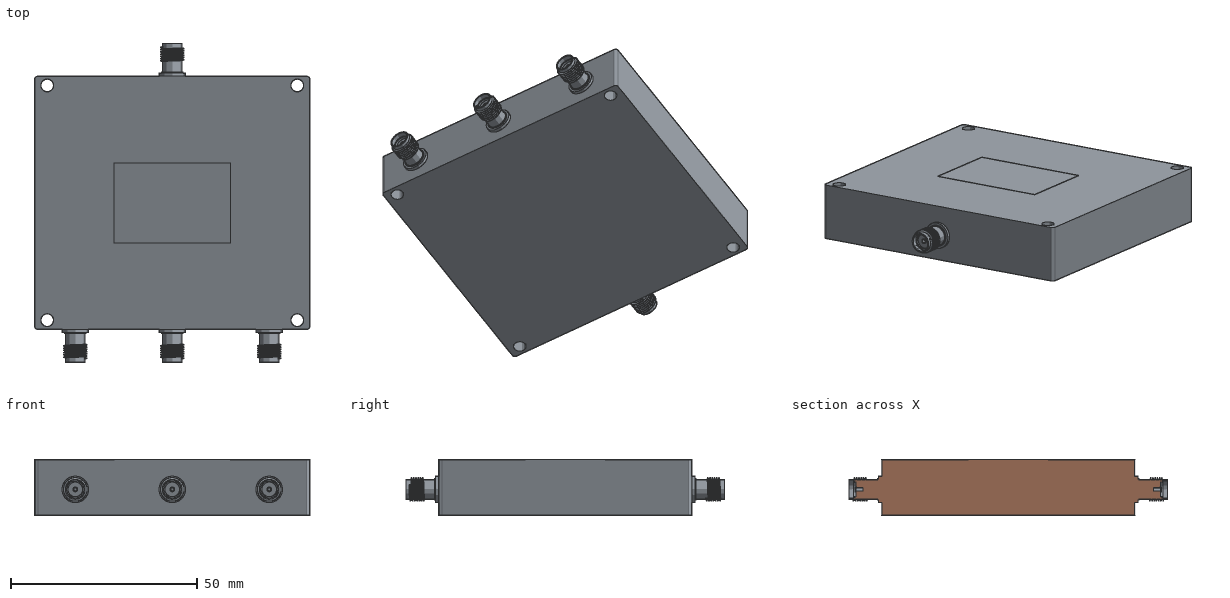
import cadquery as cq

housing_x = 74.0
housing_y = 68.05
housing_z = 15.0
corner_radius = 0.85

hole_diameter = 3.3
hole_spacing_x = 67.2
hole_spacing_y = 63.1

label_x = 31.2
label_y = 21.5
label_thickness = 0.1

overall_y = 85.7
connector_length = (overall_y - housing_y) / 2
connector_pitch = 26.05
connector_drop = 0.5
flange_diameter = 7.1
flange_thickness = 0.85
barrel_diameter = 5.3

thread_diameter = 6.3
thread_pitch = 0.6
thread_turns = 6.4
thread_crest = 0.1
thread_root = 0.565
thread_start_angle = 60
thread_end_gap = 0.8
root_overlap = 0.2

collar_diameter = 5.8
collar_height = 0.25

mouth_diameter = 4.6
mouth_depth = 1.3
bore_diameter = 3.9
bore_depth = 1.9
contact_diameter = 1.3
contact_length = 0.25
contact_hole_diameter = 0.85
contact_hole_depth = 2.1


def make_housing():
    block = cq.Workplane("XY").box(housing_x, housing_y, housing_z)
    block = block.edges("|Z").fillet(corner_radius)
    block = (
        block.faces(">Z")
        .workplane()
        .rect(hole_spacing_x, hole_spacing_y, forConstruction=True)
        .vertices()
        .hole(hole_diameter)
    )
    label = (
        cq.Workplane("XY", origin=(0, 0, housing_z / 2))
        .rect(label_x, label_y)
        .extrude(label_thickness)
    )
    return block.union(label)


def make_connector_body():
    """Turned connector body along +Z, with its flange seated on the plane Z = 0."""
    flange_radius = flange_diameter / 2
    collar_radius = collar_diameter / 2
    collar_top = flange_thickness + collar_height
    barrel_radius = barrel_diameter / 2
    mouth_radius = mouth_diameter / 2
    mouth_floor = connector_length - mouth_depth
    bore_radius = bore_diameter / 2
    bore_floor = connector_length - bore_depth
    contact_radius = contact_diameter / 2
    contact_tip = bore_floor + contact_length
    contact_hole_radius = contact_hole_diameter / 2
    contact_hole_floor = contact_tip - contact_hole_depth

    half_section = [
        (0, 0),
        (flange_radius, 0),
        (flange_radius, flange_thickness),
        (collar_radius, flange_thickness),
        (collar_radius, collar_top),
        (barrel_radius, collar_top),
        (barrel_radius, connector_length),
        (mouth_radius, connector_length),
        (mouth_radius, mouth_floor),
        (bore_radius, mouth_floor),
        (bore_radius, bore_floor),
        (contact_radius, bore_floor),
        (contact_radius, contact_tip),
        (contact_hole_radius, contact_tip),
        (contact_hole_radius, contact_hole_floor),
        (0, contact_hole_floor),
    ]
    return cq.Workplane("XZ").polyline(half_section).close().revolve(360, (0, 0, 0), (0, 1, 0))


def make_thread():
    """Thread ridge for the connector body: a tapered section swept along a helix."""
    root_radius = barrel_diameter / 2
    crest_radius = thread_diameter / 2
    thread_length = thread_turns * thread_pitch
    start = connector_length - thread_end_gap - thread_root / 2 - thread_length
    helix = cq.Wire.makeHelix(thread_pitch, thread_length, root_radius, cq.Vector(0, 0, start))
    half_root = thread_root / 2
    half_crest = thread_crest / 2
    section = (
        cq.Workplane("XZ", origin=(0, 0, start))
        .moveTo(root_radius - root_overlap, -half_root)
        .lineTo(crest_radius, -half_crest)
        .lineTo(crest_radius, half_crest)
        .lineTo(root_radius - root_overlap, half_root)
        .close()
    )
    return section.sweep(helix, isFrenet=True).rotate((0, 0, 0), (0, 0, 1), thread_start_angle)


def make_connector():
    """Threaded connector along +Y, with its flange seated on the plane Y = 0."""
    connector = make_connector_body().union(make_thread())
    return connector.rotate((0, 0, 0), (1, 0, 0), -90)


connector = make_connector()
input_connector = connector.translate((0, housing_y / 2, -connector_drop))
output_connector = connector.rotate((0, 0, 0), (0, 0, 1), 180)

result = make_housing().union(input_connector)
for position in (-1, 0, 1):
    place = (position * connector_pitch, -housing_y / 2, -connector_drop)
    result = result.union(output_connector.translate(place))